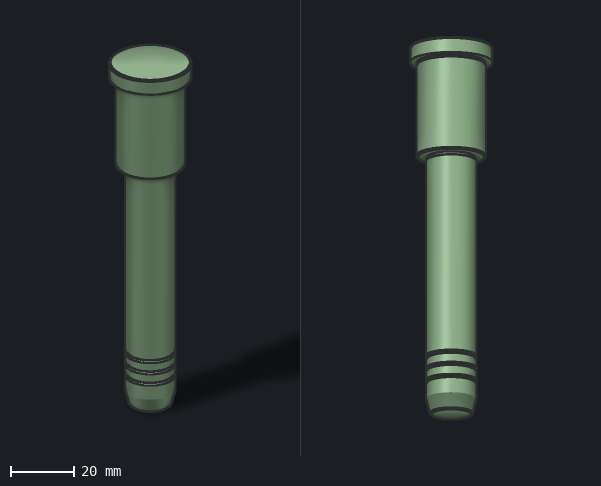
import cadquery as cq

total_length = 120.0
head_diameter = 26.0
head_height = 5.0
head_chamfer = 0.5
body_diameter = 22.0
body_bottom_z = 84.0
body_chamfer = 0.5
neck_diameter = 21.4
neck_height = 0.5
pin_diameter = 16.0
relief_diameter = 14.9
relief_height = 1.1
tip_length = 5.0
tip_diameter = 13.5
tip_chamfer = 0.5

groove_count = 3
groove_pitch = 4.0
first_groove_z = 10.1
groove_depth = 0.6
groove_upper_wall = 0.5

head_radius = head_diameter / 2
body_radius = body_diameter / 2
neck_radius = neck_diameter / 2
pin_radius = pin_diameter / 2
relief_radius = relief_diameter / 2
tip_radius = tip_diameter / 2
head_bottom_z = total_length - head_height
body_top_z = head_bottom_z - neck_height
pin_top_z = body_bottom_z - relief_height


def cylinder(radius, bottom_z, top_z):
    """Solid cylinder about Z between two heights."""
    return cq.Workplane("XY").workplane(offset=bottom_z).circle(radius).extrude(top_z - bottom_z)


def make_groove(bottom_z):
    """Ring with a V section that cuts one groove into the pin."""
    groove_root = (pin_radius - groove_depth, bottom_z + groove_depth)
    top_z = bottom_z + groove_depth + groove_upper_wall
    section = (
        cq.Workplane("XZ")
        .moveTo(pin_radius, bottom_z)
        .lineTo(*groove_root)
        .lineTo(pin_radius, top_z)
        .lineTo(head_radius, top_z)
        .lineTo(head_radius, bottom_z)
        .close()
    )
    return section.revolve(360, (0, 0, 0), (0, 1, 0))


tip = (
    cq.Workplane("XY")
    .circle(tip_radius)
    .workplane(offset=tip_length)
    .circle(pin_radius)
    .loft(ruled=True)
    .faces("<Z")
    .chamfer(tip_chamfer)
)

pin = cylinder(pin_radius, tip_length, pin_top_z)
relief = cylinder(relief_radius, pin_top_z, body_bottom_z)
body = cylinder(body_radius, body_bottom_z, body_top_z).edges().chamfer(body_chamfer)
neck = cylinder(neck_radius, body_top_z, head_bottom_z)
head = cylinder(head_radius, head_bottom_z, total_length).faces(">Z").chamfer(head_chamfer)

result = tip.union(pin).union(relief).union(body).union(neck).union(head)

for index in range(groove_count):
    result = result.cut(make_groove(first_groove_z + index * groove_pitch))